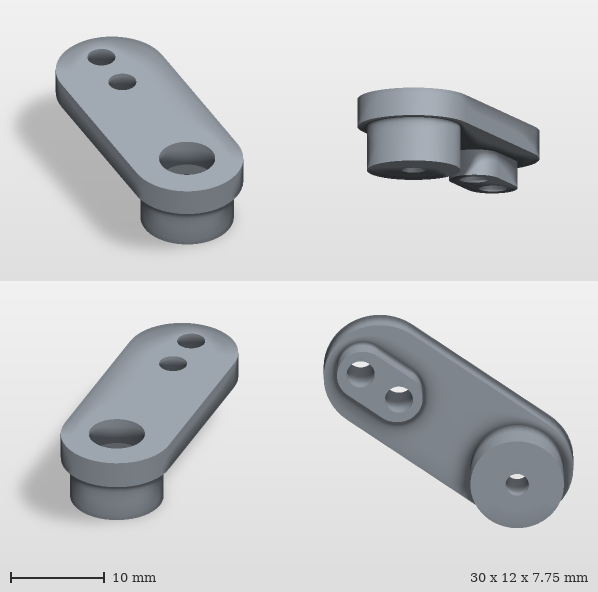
import cadquery as cq

plate_length = 30.0
plate_width = 12.0
plate_thickness = 3.0
end_offset = (plate_length - plate_width) / 2

boss_diameter = 10.0
boss_height = 4.75
bore_diameter = 2.5
counterbore_diameter = 6.0
counterbore_depth = plate_thickness

key_length = 10.0
key_width = 5.5
key_height = 2.75
pin_hole_diameter = 3.0
pin_hole_spacing = 5.0

plate = cq.Workplane("XY").slot2D(plate_length, plate_width).extrude(plate_thickness)

boss = cq.Workplane("XY").center(end_offset, 0).circle(boss_diameter / 2).extrude(-boss_height)

key = cq.Workplane("XY").center(-end_offset, 0).slot2D(key_length, key_width).extrude(-key_height)

body = plate.union(boss).union(key)

body = (
    body.faces(">Z")
    .workplane(origin=(end_offset, 0, plate_thickness))
    .cboreHole(bore_diameter, counterbore_diameter, counterbore_depth)
)

result = (
    body.faces(">Z")
    .workplane(origin=(-end_offset, 0, plate_thickness))
    .rarray(pin_hole_spacing, 0.3, 2, 1)
    .hole(pin_hole_diameter)
)